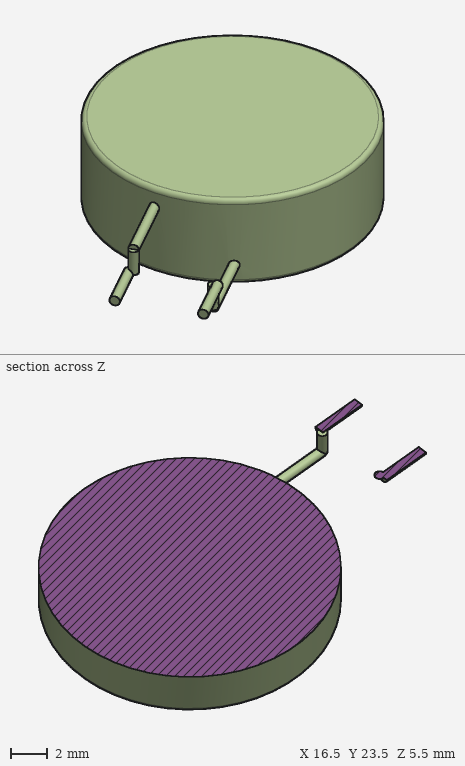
import cadquery as cq

body_diameter = 16.5
body_height = 5.5
edge_radius = 0.3

wire_diameter = 0.6
lead_offset_x = 2.25
tip_offset_x = 2.5
lead_offset_z = 1.5
lead_reach = 4.0
tip_length = 3.0
lead_embed = 1.0

body_radius = body_diameter / 2
bend_y = -(body_radius + lead_reach)


def make_body():
    return (
        cq.Workplane("XY")
        .cylinder(body_height, body_radius)
        .faces("|Z")
        .edges()
        .fillet(edge_radius)
    )


def make_wire(start, direction, length):
    """Straight round wire from a start point along a direction."""
    return cq.Workplane(
        cq.Solid.makeCylinder(wire_diameter / 2, length, cq.Vector(*start), cq.Vector(*direction))
    )


def make_lead(side):
    """Lead on one side: -1 is the -X, upper lead; +1 is the +X, lower lead."""
    run_x = side * lead_offset_x
    run_z = -side * lead_offset_z
    run = make_wire((run_x, bend_y, run_z), (0, 1, 0), lead_reach + lead_embed)
    step = make_wire((run_x, bend_y, run_z), (0, 0, side), lead_offset_z)
    tip = make_wire((side * tip_offset_x, bend_y, 0), (0, -1, 0), tip_length)
    return run.union(step).union(tip)


result = make_body()
for side in (-1, 1):
    result = result.union(make_lead(side))